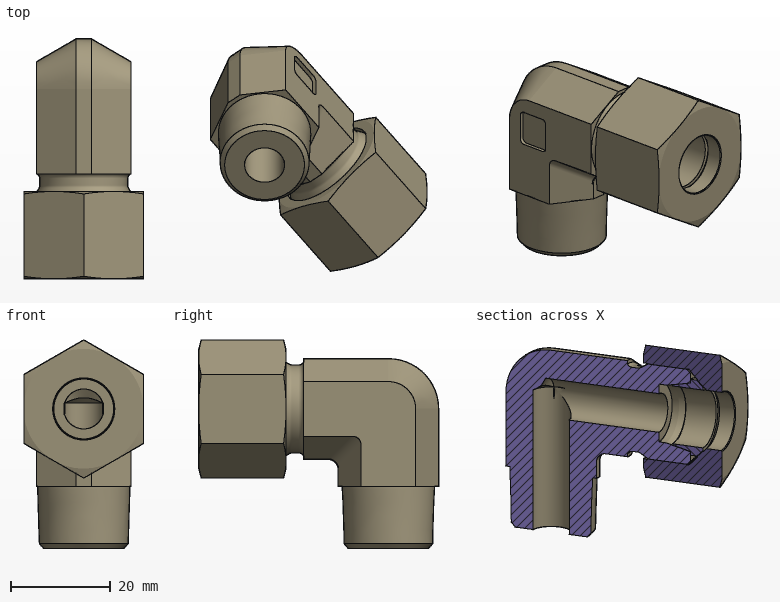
import cadquery as cq
import math


leg_width = 19.0
leg_half_height = 10.1
tube_leg_end = -17.0
stem_leg_end = -15.5
inner_bend_radius = 2.0
selection_margin = 0.1

recess_size = 7.0
recess_corner_radius = 1.0
recess_depth = 0.8
recess_centre = -1.0

stem_end = -28.0
stem_diameter = 18.53
stem_collar_height = 0.5
stem_taper = 1 / 16
stem_tip_diameter = 16.0
stem_tip_height = 1.0

thread_diameter = 20.0
thread_end_diameter = 18.38
neck_diameter = 17.7
neck_fillet_radius = 1.0
neck_fillet_length = 0.9
undercut_fillet_radius = 0.9
undercut_angle = math.radians(30)
undercut_start = -19.35
tube_end = -31.0
tube_stop = -24.0
tube_diameter = 12.0
cone_mouth_diameter = 14.3
cone_half_angle = math.radians(12)

bore_diameter = 8.0
bore_overrun = 1.19
drill_half_angle = math.radians(59)

ring_front = -27.0
ring_back = -33.8
ring_collar_diameter = 16.0

nut_width = 24.0
nut_back = -20.5
nut_front = -38.0
nut_hole_diameter = 12.1
nut_seat_edge = -34.5
nut_hole_mouth_diameter = 12.45
nut_corner_angle = math.radians(15)


def seat_y(radius):
    """Y of the 45 degree cone on which the nut presses the cutting ring."""
    return nut_seat_edge + radius - nut_hole_diameter / 2


def seat_radius(y):
    """Radius of the same cone at a given Y."""
    return y - nut_seat_edge + nut_hole_diameter / 2


def revolve_about_y(outline):
    """Turn a closed outline drawn as (radius, y) about the Y axis."""
    return outline.close().revolve(360, (0, 0, 0), (0, 1, 0))


def leg_outline_half():
    """Corner points of the leg section's upper half, as (x, height)."""
    half_width = leg_width / 2
    slope = math.tan(math.radians(30))
    flat_half = (leg_width * slope - leg_half_height) / slope
    side_height = half_width * slope
    return [
        (half_width, side_height),
        (flat_half, leg_half_height),
        (-flat_half, leg_half_height),
        (-half_width, side_height),
    ]


def make_elbow():
    """Two legs joined by a quarter turn outside and a rounded mitre inside."""
    upper = leg_outline_half()
    section = upper + [(-x, -height) for x, height in upper]
    tube_leg = cq.Workplane("XZ").polyline(section).close().extrude(-tube_leg_end)
    stem_leg = cq.Workplane("XY").polyline(section).close().extrude(stem_leg_end)

    half_width = leg_width / 2
    half_section = [(half_width, 0)] + upper + [(-half_width, 0)]
    outer_bend = (
        cq.Workplane("XY").polyline(half_section).close()
        .revolve(90, (0, 0, 0), (1, 0, 0))
    )
    elbow = tube_leg.union(stem_leg).union(outer_bend)

    side_height = upper[0][1]
    reach = leg_half_height + selection_margin
    inner_corner = cq.selectors.BoxSelector(
        (-half_width, -reach, -reach), (half_width, -side_height, -side_height)
    )
    return elbow.edges(inner_corner).fillet(inner_bend_radius)


def make_stem():
    """Short collar, tapered thread cone and bevelled tip."""
    collar_end = stem_leg_end - stem_collar_height
    tip_start = stem_end + stem_tip_height
    small_diameter = stem_diameter - (collar_end - tip_start) * stem_taper
    return (
        cq.Workplane("XZ")
        .moveTo(0, stem_leg_end)
        .lineTo(stem_diameter / 2, stem_leg_end)
        .lineTo(stem_diameter / 2, collar_end)
        .lineTo(small_diameter / 2, tip_start)
        .lineTo(stem_tip_diameter / 2, stem_end)
        .lineTo(0, stem_end)
        .close().revolve(360, (0, 0, 0), (0, 1, 0))
    )


def make_tube_end():
    """Filleted neck, undercut flare and plain cylinder standing for the thread."""
    neck = neck_diameter / 2
    thread = thread_diameter / 2
    thread_end = thread_end_diameter / 2
    fillet_angle = math.asin(neck_fillet_length / neck_fillet_radius)
    fillet_rise = neck_fillet_radius * (1 - math.cos(fillet_angle))
    fillet_mid_rise = neck_fillet_radius * (1 - math.cos(fillet_angle / 2))
    fillet_start = tube_leg_end - neck_fillet_length
    fillet_mid_y = fillet_start + neck_fillet_radius * math.sin(fillet_angle / 2)

    flare_y = undercut_start - undercut_fillet_radius * math.sin(undercut_angle)
    flare_r = neck + undercut_fillet_radius * (1 - math.cos(undercut_angle))
    mid_y = undercut_start - undercut_fillet_radius * math.sin(undercut_angle / 2)
    mid_r = neck + undercut_fillet_radius * (1 - math.cos(undercut_angle / 2))
    thread_start = flare_y - (thread - flare_r) / math.tan(undercut_angle)
    return revolve_about_y(
        cq.Workplane("XY")
        .moveTo(0, tube_leg_end)
        .lineTo(neck + fillet_rise, tube_leg_end)
        .threePointArc((neck + fillet_mid_rise, fillet_mid_y), (neck, fillet_start))
        .lineTo(neck, undercut_start)
        .threePointArc((mid_r, mid_y), (flare_r, flare_y))
        .lineTo(thread, thread_start)
        .lineTo(thread, tube_end + thread - thread_end)
        .lineTo(thread_end, tube_end)
        .lineTo(0, tube_end)
    )


def make_drilling(plane, open_end):
    """Bore along the plane's local Y, from open_end past the origin to a drill point."""
    radius = bore_diameter / 2
    point = bore_overrun + radius / math.tan(drill_half_angle)
    return (
        cq.Workplane(plane)
        .moveTo(0, open_end)
        .lineTo(radius, open_end)
        .lineTo(radius, bore_overrun)
        .lineTo(0, point)
        .close().revolve(360, (0, 0, 0), (0, 1, 0))
    )


def make_tube_socket():
    """Conical mouth for the cutting ring, then a straight socket down to the tube stop."""
    tube = tube_diameter / 2
    mouth = cone_mouth_diameter / 2
    cone_bottom = tube_end + (mouth - tube) / math.tan(cone_half_angle)
    return revolve_about_y(
        cq.Workplane("XY")
        .moveTo(0, tube_stop)
        .lineTo(tube, tube_stop)
        .lineTo(tube, cone_bottom)
        .lineTo(mouth, tube_end)
        .lineTo(0, tube_end)
    )


def make_recess():
    """Shallow rounded square pocket in the -X side."""
    return (
        cq.Workplane("YZ", origin=(-leg_width / 2, recess_centre, recess_centre))
        .rect(recess_size, recess_size)
        .extrude(recess_depth)
        .edges("|X")
        .fillet(recess_corner_radius)
    )


def make_body():
    body = make_elbow().union(make_stem()).union(make_tube_end())
    body = body.cut(make_tube_socket())
    body = body.cut(make_drilling("XY", tube_end)).cut(make_drilling("XZ", stem_end))
    return body.cut(make_recess())


def make_cutting_ring():
    """Sleeve that wedges into the body cone and has a bevelled collar at the rear."""
    tube = tube_diameter / 2
    mouth = cone_mouth_diameter / 2
    collar = ring_collar_diameter / 2
    front = mouth - (ring_front - tube_end) * math.tan(cone_half_angle)
    return revolve_about_y(
        cq.Workplane("XY")
        .moveTo(tube, ring_front)
        .lineTo(front, ring_front)
        .lineTo(mouth, tube_end)
        .lineTo(collar, tube_end)
        .lineTo(collar, seat_y(collar))
        .lineTo(seat_radius(ring_back), ring_back)
        .lineTo(tube, ring_back)
    )


def make_nut():
    """Hexagon with bevelled corners, threaded bore, 45 degree seat and tube hole."""
    flat = nut_width / 2
    corner = flat / math.cos(math.radians(30))
    bevel = (corner - flat) * math.tan(nut_corner_angle)
    hexagon = (
        cq.Workplane("XZ", origin=(0, nut_back, 0))
        .polygon(6, 2 * corner)
        .extrude(nut_back - nut_front)
        .rotate((0, 0, 0), (0, 1, 0), 30)
    )
    corner_envelope = revolve_about_y(
        cq.Workplane("XY")
        .moveTo(0, nut_back)
        .lineTo(flat, nut_back)
        .lineTo(corner, nut_back - bevel)
        .lineTo(corner, nut_front + bevel)
        .lineTo(flat, nut_front)
        .lineTo(0, nut_front)
    )

    bore = thread_diameter / 2
    hole = nut_hole_diameter / 2
    hole_mouth = nut_hole_mouth_diameter / 2
    inside = revolve_about_y(
        cq.Workplane("XY")
        .moveTo(0, nut_back)
        .lineTo(bore, nut_back)
        .lineTo(bore, seat_y(bore))
        .lineTo(hole, nut_seat_edge)
        .lineTo(hole, nut_front + hole_mouth - hole)
        .lineTo(hole_mouth, nut_front)
        .lineTo(0, nut_front)
    )
    return hexagon.intersect(corner_envelope).cut(inside)


body = make_body()
cutting_ring = make_cutting_ring()
nut = make_nut()

result = cq.Compound.makeCompound([body.val(), cutting_ring.val(), nut.val()])